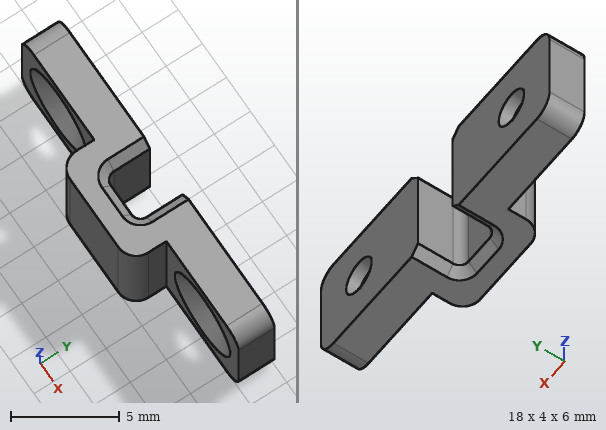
import cadquery as cq

length = 18.0
height = 6.0
plate_thickness = 2.0
plate_corner_radius = 1.0

bridge_width = 6.0
bridge_depth = 4.0
bridge_edge_radius = 1.0

channel_width = 2.7
channel_depth = 2.5
channel_corner_radius = 0.5
channel_mouth_chamfer = 0.5

hole_spacing = 12.0
hole_diameter = 2.0
countersink_diameter = 4.6
countersink_angle = 90.0


def block(width, depth):
    """Block centred in X and Z, reaching forward from the mounting face."""
    return cq.Workplane("XY").box(width, depth, height).translate((0, -depth / 2, 0))


def make_plate():
    plate = block(length, plate_thickness).edges("|Y").fillet(plate_corner_radius)
    screw_points = [(-hole_spacing / 2, 0), (hole_spacing / 2, 0)]
    return (
        plate.faces("<Y")
        .workplane(centerOption="CenterOfBoundBox")
        .pushPoints(screw_points)
        .cskHole(hole_diameter, countersink_diameter, countersink_angle)
    )


def make_bridge():
    return block(bridge_width, bridge_depth).edges("|Z and <Y").fillet(bridge_edge_radius)


def channel_profile(z, offset):
    """Closed U outline at height z, grown outward by offset from the channel walls."""
    half_width = channel_width / 2 + offset
    depth = channel_depth + offset
    radius = channel_corner_radius + offset
    return (
        cq.Workplane("XY", origin=(0, 0, z))
        .moveTo(-half_width, 0)
        .lineTo(-half_width, radius - depth)
        .radiusArc((radius - half_width, -depth), -radius)
        .lineTo(half_width - radius, -depth)
        .radiusArc((half_width, radius - depth), -radius)
        .lineTo(half_width, 0)
        .close()
    )


def make_channel():
    """Straight channel with its mouth chamfered at 45 degrees at both Z ends."""
    channel = channel_profile(-height / 2, 0).extrude(height)
    mouth_wire = channel_profile(height / 2, channel_mouth_chamfer).wire().val()
    throat_wire = channel_profile(height / 2 - channel_mouth_chamfer, 0).wire().val()
    flare = cq.Workplane(cq.Solid.makeLoft([throat_wire, mouth_wire], True))
    return channel.union(flare).union(flare.mirror("XY"))


result = make_plate().union(make_bridge()).cut(make_channel())